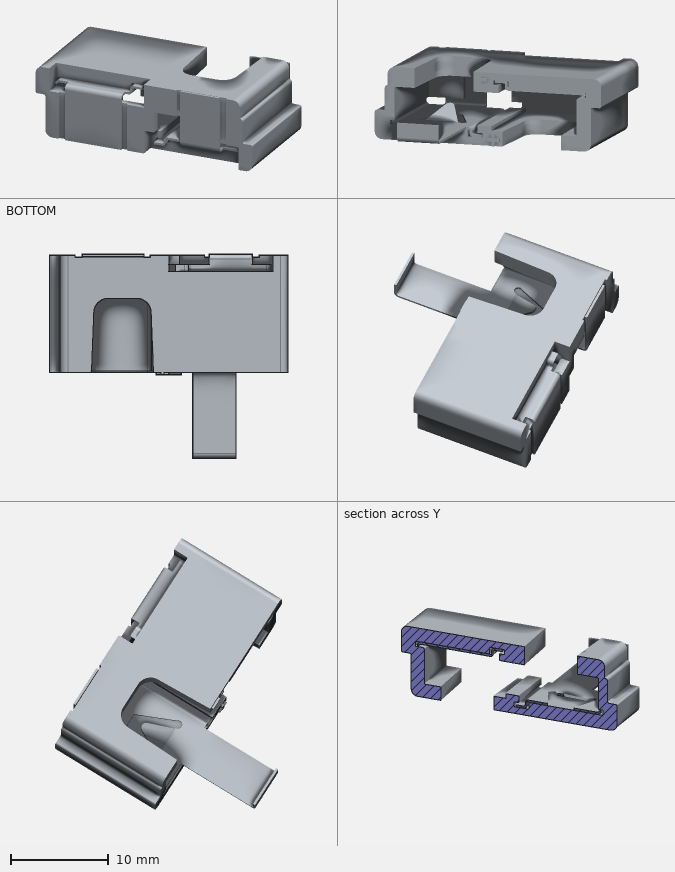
import cadquery as cq
import math

WIDTH = 24.38
HEIGHT = 7.58
DEPTH = 12.02
OVERALL_LENGTH = 20.87

CORNER_R = 0.78
EDGE_R = 0.17
LEFT_STEP_X = 1.1
LEFT_STEP_Z = 4.6
RIGHT_STEP_X = 23.3
RIGHT_STEP_Z = HEIGHT - LEFT_STEP_Z
RIGHT_NOTCH_X = 23.0
RIGHT_NOTCH_Z = 5.65

POCKET_LEFT = 1.55
POCKET_RIGHT = WIDTH / 2
POCKET_FLOOR = 5.07
POCKET_DEPTH = 1.65
LEDGE_TOP = 5.53
LEDGE_RIGHT = 11.07
SLOT_LEFT = 1.63
SLOT_TOP = 6.05
FLANGE_SLOT_LEFT = 10.0
FLANGE_SLOT_RIGHT = 11.63
FLANGE_SLOT_FLOOR = 6.31
FLANGE_SLOT_TOP = 6.8

WALL_BACK = 0.95
CAVITY_LEFT = 2.63
CAVITY_RIGHT = 22.23
CAVITY_LEFT_FLOOR = HEIGHT - SLOT_TOP
CAVITY_RIGHT_FLOOR = HEIGHT - LEDGE_TOP
FLOOR_STEP_X = 11.8
LEDGE_R = 0.25

OPENING_BACK_LEFT = 4.3
OPENING_BACK_RIGHT = 10.63
OPENING_TAPER = 0.3
OPENING_FRONT_Y = 4.41
OPENING_R = 1.5

LEFT_LEAF = (3.35, 9.68)
RIGHT_LEAF = (16.3, 20.72)
RECESS_DEPTH = 0.22
LEFT_RECESS = (2.63, 10.3)
RIGHT_RECESS = (15.85, 21.43)
WINDOW_LEFT = WIDTH - LEDGE_RIGHT
WINDOW_RIGHT = sum(RIGHT_LEAF) / 2
WINDOW_TOP = 4.73

MARK_HEIGHT = 0.22
MARK_LENGTH = 1.3
MARK_WIDTH = 0.32
PLUS_X = 11.55
MINUS_X = 12.82
PLUS_Z = MARK_LENGTH / 2
MINUS_Z = 6.85

SHEET = 0.25
BEND_R = 0.49
LEAF_PROUD = 0.1
PLATE_FRONT = WALL_BACK
PLATE_BACK = 11.85
HOOK_BEND_X = 2.22
HOOK_LENGTH = 0.3
JOG_X = 10.3
SMALL_BEND_R = 0.4
FLANGE_END_X = 11.48

TAIL_LEFT = 14.63
TAIL_RIGHT = 19.07
TAIL_BACK = OVERALL_LENGTH - LEAF_PROUD
TAIL_TOP = 3.5

BARB_X = 18.02
BARB_HINGE_Y = 9.4
BARB_HALF_WIDTH = 1.75
BARB_APEX_REACH = 3.63
BARB_TIP_R = 0.5
BARB_ANGLE = 25.0
V_HALF_WIDTH = 2.68
V_TIP_HALF_WIDTH = 0.78
V_FRONT_Y = 5.02
V_END_R = 0.45


def box(x0, x1, y0, y1, z0, z1):
    return cq.Workplane("XY").box(x1 - x0, y1 - y0, z1 - z0, centered=False).translate((x0, y0, z0))


def half_turn(shape):
    """Turn half a turn about the block's Y centre line."""
    return shape.rotate((WIDTH / 2, 0, HEIGHT / 2), (WIDTH / 2, 1, HEIGHT / 2), 180)


def along_y(sketch, y0, y1):
    """Extrude an XZ outline from y0 to y1."""
    return sketch.extrude(-(y1 - y0)).translate((0, y0, 0))



def outer_block():
    notch_r = RIGHT_STEP_X - RIGHT_NOTCH_X
    profile = (
        cq.Workplane("XZ")
        .moveTo(LEFT_STEP_X + CORNER_R, 0)
        .lineTo(WIDTH - CORNER_R, 0)
        .radiusArc((WIDTH, CORNER_R), -CORNER_R)
        .lineTo(WIDTH, RIGHT_STEP_Z - EDGE_R)
        .radiusArc((WIDTH - EDGE_R, RIGHT_STEP_Z), -EDGE_R)
        .lineTo(RIGHT_STEP_X + EDGE_R, RIGHT_STEP_Z)
        .radiusArc((RIGHT_STEP_X, RIGHT_STEP_Z + EDGE_R), EDGE_R)
        .lineTo(RIGHT_STEP_X, RIGHT_NOTCH_Z - notch_r)
        .radiusArc((RIGHT_NOTCH_X, RIGHT_NOTCH_Z), -notch_r)
        .lineTo(RIGHT_NOTCH_X, HEIGHT - CORNER_R)
        .radiusArc((RIGHT_NOTCH_X - CORNER_R, HEIGHT), -CORNER_R)
        .lineTo(CORNER_R, HEIGHT)
        .radiusArc((0, HEIGHT - CORNER_R), -CORNER_R)
        .lineTo(0, LEFT_STEP_Z + EDGE_R)
        .radiusArc((EDGE_R, LEFT_STEP_Z), -EDGE_R)
        .lineTo(LEFT_STEP_X - EDGE_R, LEFT_STEP_Z)
        .radiusArc((LEFT_STEP_X, LEFT_STEP_Z - EDGE_R), EDGE_R)
        .lineTo(LEFT_STEP_X, CORNER_R)
        .radiusArc((LEFT_STEP_X + CORNER_R, 0), -CORNER_R)
        .close()
    )
    return along_y(profile, 0, DEPTH)


def pocket_and_slot_cut():
    """Front pocket and, behind it, the through slot that holds the sheet and its flange."""
    pocket = box(POCKET_LEFT, POCKET_RIGHT, 0, POCKET_DEPTH, POCKET_FLOOR, HEIGHT)
    profile = (
        cq.Workplane("XZ")
        .moveTo(SLOT_LEFT, LEDGE_TOP)
        .lineTo(SLOT_LEFT, SLOT_TOP)
        .lineTo(FLANGE_SLOT_LEFT, SLOT_TOP)
        .lineTo(FLANGE_SLOT_LEFT, FLANGE_SLOT_TOP)
        .lineTo(FLANGE_SLOT_RIGHT, FLANGE_SLOT_TOP)
        .lineTo(FLANGE_SLOT_RIGHT, FLANGE_SLOT_FLOOR)
        .lineTo(LEDGE_RIGHT, FLANGE_SLOT_FLOOR)
        .lineTo(LEDGE_RIGHT, LEDGE_TOP)
        .close()
    )
    return pocket.union(along_y(profile, POCKET_DEPTH, DEPTH))


def cavity_cut():
    """Space between the slots, from the back of the front wall through the back face."""
    profile = (
        cq.Workplane("XZ")
        .moveTo(CAVITY_LEFT, CAVITY_LEFT_FLOOR)
        .lineTo(CAVITY_LEFT, LEDGE_TOP - LEDGE_R)
        .radiusArc((CAVITY_LEFT - LEDGE_R, LEDGE_TOP), -LEDGE_R)
        .lineTo(CAVITY_RIGHT, LEDGE_TOP)
        .lineTo(CAVITY_RIGHT, CAVITY_RIGHT_FLOOR)
        .lineTo(FLOOR_STEP_X, CAVITY_RIGHT_FLOOR)
        .lineTo(FLOOR_STEP_X, CAVITY_LEFT_FLOOR)
        .close()
    )
    return along_y(profile, WALL_BACK, DEPTH)


def opening_cut():
    """Tapered, round-cornered opening from the back face into the cavity."""
    return (
        cq.Workplane("XY")
        .polyline([
            (OPENING_BACK_LEFT, DEPTH),
            (OPENING_BACK_LEFT + OPENING_TAPER, OPENING_FRONT_Y),
            (OPENING_BACK_RIGHT - OPENING_TAPER, OPENING_FRONT_Y),
            (OPENING_BACK_RIGHT, DEPTH),
        ])
        .close()
        .extrude(HEIGHT - LEDGE_TOP)
        .edges("|Z and <Y")
        .fillet(OPENING_R)
    )


def polarity_marks():
    def bar(x, z, length_x, length_z):
        return box(x - length_x / 2, x + length_x / 2, DEPTH, DEPTH + MARK_HEIGHT,
                   z - length_z / 2, z + length_z / 2)

    minus = bar(MINUS_X, MINUS_Z, MARK_LENGTH, MARK_WIDTH)
    plus = bar(PLUS_X, PLUS_Z, MARK_LENGTH, MARK_WIDTH).union(
        bar(PLUS_X, PLUS_Z, MARK_WIDTH, MARK_LENGTH))
    return plus.union(minus)


def make_housing():
    housing = outer_block().cut(cavity_cut())
    for cut in (pocket_and_slot_cut(), opening_cut()):
        housing = housing.cut(cut).cut(half_turn(cut))
    for left, right in (LEFT_RECESS, RIGHT_RECESS):
        housing = housing.cut(box(left, right, 0, RECESS_DEPTH, 0, HEIGHT))
    window = box(WINDOW_LEFT, WINDOW_RIGHT, 0, WALL_BACK, HEIGHT - POCKET_FLOOR, WINDOW_TOP)
    return housing.cut(window).union(polarity_marks())



def angle_sheet(x0, x1, corner, ends):
    """Bent sheet from x0 to x1; corner is its outer (y, z) corner, ends the y and z where its legs stop."""
    corner_y, corner_z = corner
    end_y, end_z = ends
    inward_y = math.copysign(1, end_y - corner_y)
    inward_z = math.copysign(1, end_z - corner_z)

    def at(across_y, across_z):
        return (corner_y + inward_y * across_y, corner_z + inward_z * across_z)

    length_y = abs(end_y - corner_y)
    length_z = abs(end_z - corner_z)
    outer_mid = BEND_R - BEND_R * math.sqrt(0.5)
    inner_mid = BEND_R - (BEND_R - SHEET) * math.sqrt(0.5)
    return (
        cq.Workplane("YZ")
        .moveTo(*at(length_y, 0))
        .lineTo(*at(BEND_R, 0))
        .threePointArc(at(outer_mid, outer_mid), at(0, BEND_R))
        .lineTo(*at(0, length_z))
        .lineTo(*at(SHEET, length_z))
        .lineTo(*at(SHEET, BEND_R))
        .threePointArc(at(inner_mid, inner_mid), at(BEND_R, SHEET))
        .lineTo(*at(length_y, SHEET))
        .close()
        .extrude(x1 - x0)
        .translate((x0, 0, 0))
    )


def plate_outline():
    """XZ outline: hooked left edge, flat plate, upright jog and raised right flange."""
    top = SLOT_TOP
    bottom = top - SHEET
    flange_top = FLANGE_SLOT_TOP
    flange_bottom = flange_top - SHEET
    outer_r = SMALL_BEND_R
    inner_r = SMALL_BEND_R - SHEET
    jog_left = JOG_X - SHEET / 2
    jog_right = JOG_X + SHEET / 2
    slant = math.sqrt(0.5)
    bend_center_z = top - outer_r

    def on_hook(radius, along):
        """Point at a radius from the hook's bend centre, some way along its 45 degree slant."""
        return (HOOK_BEND_X - slant * (radius + along), bend_center_z + slant * (radius - along))

    return (
        cq.Workplane("XZ")
        .moveTo(HOOK_BEND_X, top)
        .lineTo(jog_left - inner_r, top)
        .radiusArc((jog_left, top + inner_r), -inner_r)
        .lineTo(jog_left, flange_top - outer_r)
        .radiusArc((jog_left + outer_r, flange_top), outer_r)
        .lineTo(FLANGE_END_X, flange_top)
        .lineTo(FLANGE_END_X, flange_bottom)
        .lineTo(jog_right + inner_r, flange_bottom)
        .radiusArc((jog_right, flange_bottom - inner_r), -inner_r)
        .lineTo(jog_right, bottom + outer_r)
        .radiusArc((jog_right - outer_r, bottom), outer_r)
        .lineTo(HOOK_BEND_X, bottom)
        .radiusArc(on_hook(inner_r, 0), -inner_r)
        .lineTo(*on_hook(inner_r, HOOK_LENGTH))
        .lineTo(*on_hook(outer_r, HOOK_LENGTH))
        .lineTo(*on_hook(outer_r, 0))
        .radiusArc((HOOK_BEND_X, top), outer_r)
        .close()
    )


def make_contact(leaf_left, leaf_right):
    """Plate with a leaf bent down over the front."""
    plate = along_y(plate_outline(), PLATE_FRONT, PLATE_BACK)
    leaf = angle_sheet(leaf_left, leaf_right, (-LEAF_PROUD, SLOT_TOP), (PLATE_FRONT, 0))
    return plate.union(leaf)


def v_slot_cut(plate_bottom):
    outline = [
        (BARB_X - V_HALF_WIDTH, BARB_HINGE_Y),
        (BARB_X - V_TIP_HALF_WIDTH, V_FRONT_Y),
        (BARB_X + V_TIP_HALF_WIDTH, V_FRONT_Y),
        (BARB_X + V_HALF_WIDTH, BARB_HINGE_Y),
    ]
    slot = cq.Workplane("XY").polyline(outline).close().extrude(SHEET)
    end_offset = V_HALF_WIDTH - V_END_R
    round_ends = (
        cq.Workplane("XY")
        .pushPoints([(BARB_X - end_offset, BARB_HINGE_Y), (BARB_X + end_offset, BARB_HINGE_Y)])
        .circle(V_END_R)
        .extrude(SHEET)
    )
    return slot.union(round_ends).translate((0, 0, plate_bottom))


def barb(plate_bottom):
    """Tapered tongue hinged at its back edge, its round tip raised above the plate."""
    apex_y = BARB_HINGE_Y - BARB_APEX_REACH / math.cos(math.radians(BARB_ANGLE))
    tongue = (
        cq.Workplane("XY")
        .polyline([
            (BARB_X - BARB_HALF_WIDTH, BARB_HINGE_Y),
            (BARB_X, apex_y),
            (BARB_X + BARB_HALF_WIDTH, BARB_HINGE_Y),
        ])
        .close()
        .extrude(SHEET)
        .edges("|Z and <Y")
        .fillet(BARB_TIP_R)
    )
    hinge = (BARB_HINGE_Y, SHEET / 2)
    return tongue.rotate((0, *hinge), (1, *hinge), -BARB_ANGLE).translate((0, 0, plate_bottom))


def make_right_contact():
    """Turned copy of the plain contact with a solder tail at the back and a raised barb."""
    left, right = RIGHT_LEAF
    contact = half_turn(make_contact(WIDTH - right, WIDTH - left))
    plate_bottom = HEIGHT - SLOT_TOP
    tail = angle_sheet(TAIL_LEFT, TAIL_RIGHT, (TAIL_BACK, plate_bottom), (PLATE_BACK, TAIL_TOP))
    return contact.union(tail).cut(v_slot_cut(plate_bottom)).union(barb(plate_bottom))


housing = make_housing()
left_contact = make_contact(*LEFT_LEAF)
right_contact = make_right_contact()

bodies = (housing, left_contact, right_contact)
result = cq.Compound.makeCompound([body.solids().val() for body in bodies])